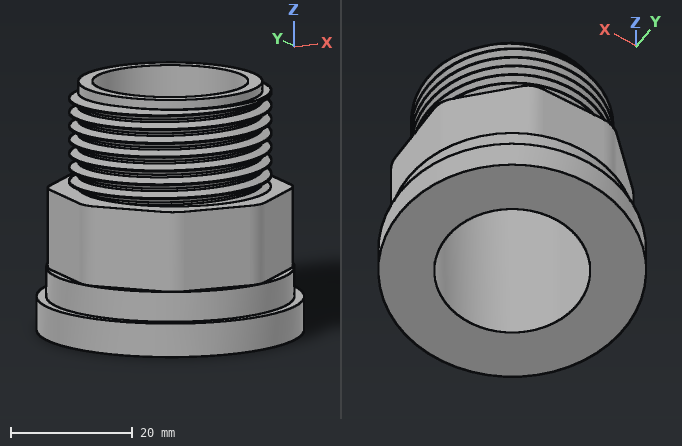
import cadquery as cq
import math

total_height = 41.7
flange_height = 5.65
collar_top = 10.6
octagon_top = 23.95
thread_top = 40.15

flange_diameter = 44
collar_diameter = 40.8
bore_diameter = 25.6
root_diameter = 30.25
crest_diameter = 33.25

octagon_sides = 8
across_flats = 37.95
octagon_turn = -1.2
corner_radius = 4.75

thread_turns = 7
pitch = (thread_top - octagon_top) / thread_turns
ridge_base_width = 1.9
ridge_crest_width = 0.18
root_overlap = 0.2


def cylinder(diameter, bottom, top):
    return cq.Workplane("XY").workplane(offset=bottom).circle(diameter / 2).extrude(top - bottom)


def wrench_section():
    across_corners = across_flats / math.cos(math.pi / octagon_sides)
    half_side_angle = 180 / octagon_sides
    return (
        cq.Workplane("XY")
        .workplane(offset=collar_top)
        .polygon(octagon_sides, across_corners)
        .extrude(octagon_top - collar_top)
        .edges("|Z")
        .fillet(corner_radius)
        .rotate((0, 0, 0), (0, 0, 1), half_side_angle + octagon_turn)
    )


def thread():
    """Ridge with one spare turn at each end, trimmed flat at the ends of the thread."""
    root_radius = root_diameter / 2
    crest_radius = crest_diameter / 2
    inner_radius = root_radius - root_overlap
    start = octagon_top - pitch
    length = (thread_turns + 2) * pitch
    helix = cq.Wire.makeHelix(pitch, length, root_radius, center=cq.Vector(0, 0, start))
    half_base = ridge_base_width / 2
    half_crest = ridge_crest_width / 2
    flank_slope = (half_base - half_crest) / (crest_radius - root_radius)
    half_inner = half_base + root_overlap * flank_slope
    ridge = (
        cq.Workplane("XZ")
        .polyline(
            [
                (inner_radius, start - half_inner),
                (crest_radius, start - half_crest),
                (crest_radius, start + half_crest),
                (inner_radius, start + half_inner),
            ]
        )
        .close()
        .sweep(cq.Workplane(helix), isFrenet=True)
    )
    envelope = cylinder(crest_diameter + pitch, octagon_top, thread_top)
    return ridge.intersect(envelope)


flange = cylinder(flange_diameter, 0, flange_height)
collar = cylinder(collar_diameter, flange_height, collar_top)
spigot = cylinder(root_diameter, octagon_top, total_height)
bore = cylinder(bore_diameter, 0, total_height)

body = flange.union(collar).union(wrench_section()).union(spigot).cut(bore)
result = body.union(thread())